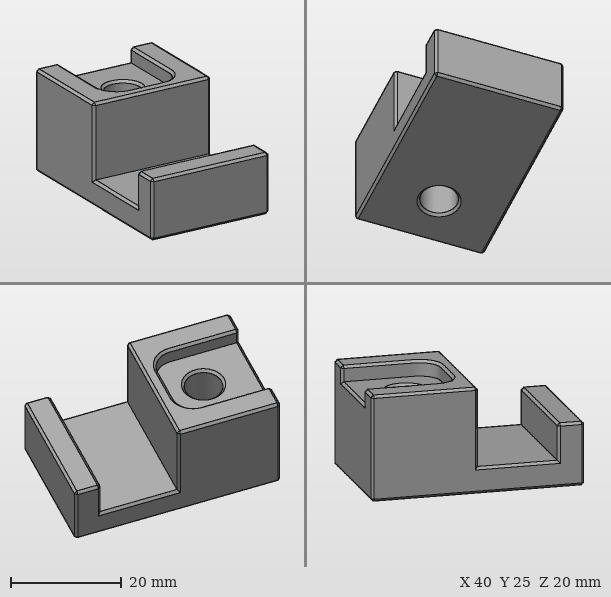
import cadquery as cq

length = 40
width = 25.0
height = 20

block_length = 20
slot_floor = 5.0
wall_thickness = 5.0
wall_height = 12
wall_inner_x = length - wall_thickness

rim_diameter = 8
hole_diameter = 7.0
edge_break = (rim_diameter - hole_diameter) / 2
pocket_width = 15.2
pocket_depth = 3.0
pocket_corner_radius = 4
pocket_end_rim = 2
pocket_length = block_length - pocket_end_rim - edge_break
pocket_floor = height - pocket_depth
hole_x = block_length / 2


def make_body():
    """Extrude the side profile symmetrically across the width."""
    return (
        cq.Workplane("XZ")
        .moveTo(0, 0)
        .lineTo(length, 0)
        .lineTo(length, wall_height)
        .lineTo(wall_inner_x, wall_height)
        .lineTo(wall_inner_x, slot_floor)
        .lineTo(block_length, slot_floor)
        .lineTo(block_length, height)
        .lineTo(0, height)
        .close()
        .extrude(width / 2, both=True)
    )


def make_pocket():
    """Make the pocket void, with rounded corners at its closed end."""
    return (
        cq.Workplane("XY", origin=(0, 0, pocket_floor))
        .rect(2 * pocket_length, pocket_width)
        .extrude(pocket_depth)
        .edges("|Z and >X")
        .fillet(pocket_corner_radius)
    )


def make_hole():
    """Make the vertical through hole."""
    return cq.Workplane("XY").center(hole_x, 0).circle(hole_diameter / 2).extrude(height)


def break_edges(part):
    """Chamfer every outward edge, leaving the inside corners sharp."""
    outer_edges = part.faces("<X or >X or <Y or >Y or <Z or >Z").edges()
    wall_edge = part.edges(cq.selectors.NearestToPointSelector((wall_inner_x, 0, wall_height)))
    hole_rim = part.edges("%CIRCLE").edges(
        cq.selectors.NearestToPointSelector((hole_x, 0, pocket_floor))
    )
    return outer_edges.add(wall_edge).add(hole_rim).chamfer(edge_break)


result = break_edges(make_body().cut(make_pocket()).cut(make_hole()))